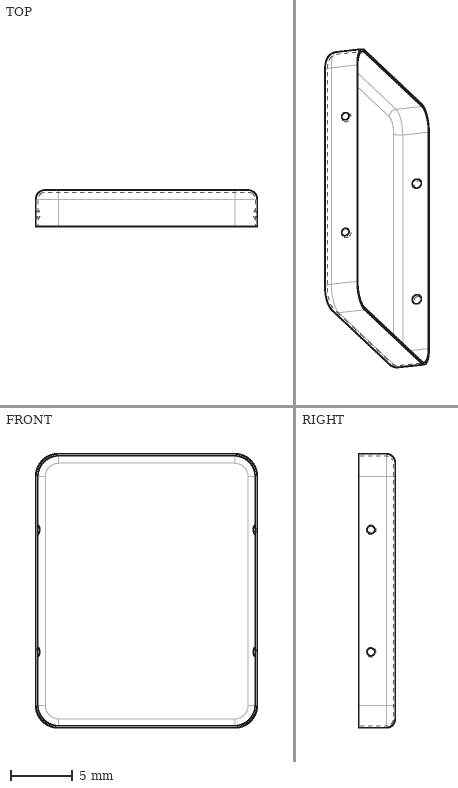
import cadquery as cq
import math

width = 18.1
depth = 3.0
height = 22.4
wall = 0.18

corner_radius = 1.85
edge_radius = 0.76

dimple_spacing = 10.0
dimple_setback = 1.0
dimple_radius = 0.31
dimple_depth = 0.15

rim_y = -depth / 2
floor_y = depth / 2


def rounded_block(inset):
    """Solid from the rim to the floor, inset evenly from the outer skin."""
    block = cq.Workplane("XZ", origin=(0, rim_y, 0)).rect(width - 2 * inset, height - 2 * inset)
    block = block.extrude(-(floor_y - inset - rim_y))
    block = block.edges("|Y").fillet(corner_radius - inset)
    return block.faces(">Y").edges().fillet(edge_radius - inset)


dent_radius = (dimple_radius**2 + dimple_depth**2) / (2 * dimple_depth)
bump_radius = dent_radius + wall
sphere_x = width / 2 + dent_radius - dimple_depth


def dimple_cap(sphere_radius, base_x, level):
    """Spherical cap on the +X wall, from its flat base to its inward pole."""
    pole_x = sphere_x - sphere_radius
    base_radius = math.sqrt(sphere_radius**2 - (sphere_x - base_x) ** 2)
    half_angle = math.acos((sphere_x - base_x) / sphere_radius) / 2
    arc_middle = (
        sphere_x - sphere_radius * math.cos(half_angle),
        sphere_radius * math.sin(half_angle),
    )
    cap = cq.Workplane("XY").moveTo(base_x, 0).lineTo(pole_x, 0)
    cap = cap.threePointArc(arc_middle, (base_x, base_radius)).close()
    cap = cap.revolve(360, (0, 0, 0), (1, 0, 0))
    return cap.translate((0, rim_y + dimple_setback, level))


result = rounded_block(0).cut(rounded_block(wall))
for level in (-dimple_spacing / 2, dimple_spacing / 2):
    bump = dimple_cap(bump_radius, width / 2 - wall / 2, level)
    dent = dimple_cap(dent_radius, width / 2, level)
    result = result.union(bump).union(bump.mirror("YZ"))
    result = result.cut(dent).cut(dent.mirror("YZ"))